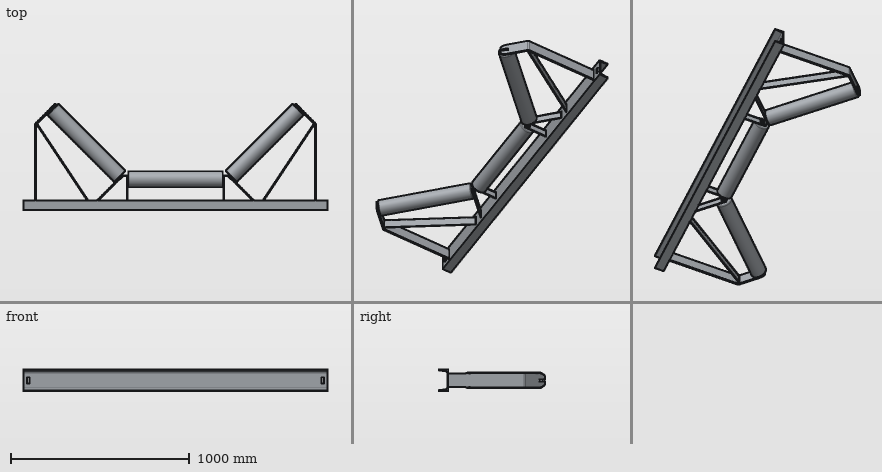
import cadquery as cq
import math

channel_length = 1700.0
channel_height = 120.0
channel_depth = 55.0
web_thickness = 7.0
flange_root_thickness = 12.0
flange_tip_thickness = 6.0
root_radius = 8.0
toe_radius = 3.0
slot_width = 14.0
slot_height = 34.0
slot_inset = 27.0

roller_length = 530.0
roller_diameter = 90.0
roller_edge_radius = 4.2
center_axis_y = 117.0
wing_tilt = 45.0
wing_center_x = 498.0
wing_center_y = 321.0
wing_end_gap = 4.2

tang_width = 14.0
tang_height = 24.0

arm_width = 76.0
arm_thickness = 8.0
arm_bend_radius = 5.0
arm_post_x = 782.0
arm_tip_reach = 32.0

bracket_width = 50.0
bracket_thickness = 6.0
bracket_bend_radius = 3.0
bracket_post_x = 270.0
bracket_top_y = 138.0

brace_width = 60.0
brace_thickness = 6.0
brace_foot_x = 491.0
brace_top_offset = 8.0
weld_overrun = 5.0

tilt = math.radians(wing_tilt)
axis_x = math.cos(tilt)
axis_y = math.sin(tilt)
half_roller = roller_length / 2
arm_reach = half_roller + wing_end_gap + arm_thickness / 2
bracket_reach = half_roller + wing_end_gap + bracket_thickness / 2
arm_seat_x = wing_center_x + arm_reach * axis_x
arm_seat_y = wing_center_y + arm_reach * axis_y
arm_bend_y = arm_seat_y - (arm_post_x - arm_seat_x) / math.tan(tilt)
wing_tang_length = wing_end_gap + arm_thickness
center_tang_length = bracket_post_x + bracket_thickness / 2 - half_roller
bracket_seat_x = wing_center_x - bracket_reach * axis_x
bracket_seat_y = wing_center_y - bracket_reach * axis_y


def bent_bar(points, thickness, width, bend_radius=0.0):
    """Flat bar centred on Z = 0 whose centreline in XY runs through the points, with rounded bends."""
    headings = [math.atan2(b[1] - a[1], b[0] - a[0]) for a, b in zip(points, points[1:])]
    arriving = [headings[0]] + headings
    leaving = headings + [headings[-1]]
    left_side = []
    right_side = []
    for (x, y), heading_in, heading_out in zip(points, arriving, leaving):
        miter = thickness / 2 / math.cos((heading_out - heading_in) / 2)
        normal = (heading_in + heading_out + math.pi) / 2
        left_side.append((x + miter * math.cos(normal), y + miter * math.sin(normal)))
        right_side.append((x - miter * math.cos(normal), y - miter * math.sin(normal)))
    bar = cq.Workplane("XY").polyline(left_side + right_side[::-1]).close().extrude(width / 2, both=True)

    for bend in range(1, len(points) - 1):
        turns_left = leaving[bend] > arriving[bend]
        inner, outer = (left_side, right_side) if turns_left else (right_side, left_side)
        for (x, y), radius in ((inner[bend], bend_radius), (outer[bend], bend_radius + thickness)):
            bar = bar.edges("|Z").edges(cq.selectors.NearestToPointSelector((x, y, 0))).fillet(radius)
    return bar


def make_channel():
    half_height = channel_height / 2
    upper = [
        (-channel_depth, half_height),
        (-channel_depth, half_height - flange_tip_thickness),
        (-web_thickness, half_height - flange_root_thickness),
    ]
    lower = [(y, -z) for y, z in reversed(upper)]
    outline = [(0, half_height)] + upper + lower + [(0, -half_height)]
    body = cq.Workplane("YZ").polyline(outline).close().extrude(channel_length / 2, both=True)
    for y, z_inner, radius in (
        (-web_thickness, half_height - flange_root_thickness, root_radius),
        (-channel_depth, half_height - flange_tip_thickness, toe_radius),
    ):
        for z in (z_inner, -z_inner):
            body = body.edges("|X").edges(cq.selectors.NearestToPointSelector((0, y, z))).fillet(radius)

    slot_x = channel_length / 2 - slot_inset
    slots = (
        cq.Workplane("XZ")
        .pushPoints([(-slot_x, 0), (slot_x, 0)])
        .rect(slot_width, slot_height)
        .extrude(channel_depth)
    )
    return body.cut(slots)


def make_roller(tang_length):
    """Roller along X, centred on the origin, with a shaft tang at each end."""
    drum = cq.Workplane("YZ").workplane(offset=-half_roller).circle(roller_diameter / 2).extrude(roller_length)
    drum = drum.faces("<X or >X").edges().fillet(roller_edge_radius)
    shaft = cq.Workplane("XY").box(roller_length + 2 * tang_length, tang_height, tang_width)
    return drum.union(shaft)


def make_arm():
    """Right arm: upright post, bent inward square to the wing axis, rounded tip with an open slot."""
    tip = (arm_seat_x - arm_tip_reach * axis_y, arm_seat_y + arm_tip_reach * axis_x)
    bar = bent_bar(
        [(arm_post_x, 0), (arm_post_x, arm_bend_y), tip], arm_thickness, arm_width, arm_bend_radius
    )
    seat = cq.Plane(
        origin=(arm_seat_x, arm_seat_y, 0), xDir=(-axis_y, axis_x, 0), normal=(axis_x, axis_y, 0)
    )
    corners = (
        cq.Workplane(seat)
        .center(arm_width / 2, 0)
        .rect(arm_width, arm_width)
        .extrude(arm_thickness, both=True)
        .cut(cq.Workplane(seat).circle(arm_width / 2).extrude(arm_thickness, both=True))
    )
    slot_length = arm_tip_reach + tang_height / 2
    slot = (
        cq.Workplane(seat)
        .center(arm_tip_reach - slot_length / 2, 0)
        .rect(slot_length, tang_width)
        .extrude(arm_thickness, both=True)
    )
    return bar.cut(corners).cut(slot)


def make_bracket(channel, center_roller, wing_roller):
    """Right bracket: post beside the middle roller, short bridge, leg sloping down to the channel."""
    bridge_end_x = bracket_seat_x - (bracket_top_y - bracket_seat_y) * math.tan(tilt)
    foot_x = bridge_end_x + bracket_top_y * math.tan(tilt)
    foot = (foot_x + weld_overrun * axis_y, -weld_overrun * axis_x)
    bar = bent_bar(
        [(bracket_post_x, 0), (bracket_post_x, bracket_top_y), (bridge_end_x, bracket_top_y), foot],
        bracket_thickness,
        bracket_width,
        bracket_bend_radius,
    )
    return bar.cut(channel).cut(center_roller).cut(wing_roller)


def make_brace(channel, arm):
    """Right brace: straight bar trimmed to the channel and to the inside of the arm bend."""
    top_x = arm_post_x - brace_top_offset
    slope = math.atan2(arm_bend_y, top_x - brace_foot_x)
    run_x = weld_overrun * math.cos(slope)
    run_y = weld_overrun * math.sin(slope)
    bar = bent_bar(
        [(brace_foot_x - run_x, -run_y), (top_x + run_x, arm_bend_y + run_y)], brace_thickness, brace_width
    )
    return bar.cut(channel).cut(arm)


channel = make_channel()

center_roller = make_roller(center_tang_length).translate((0, center_axis_y, 0))
wing_roller = (
    make_roller(wing_tang_length)
    .rotate((0, 0, 0), (0, 0, 1), wing_tilt)
    .translate((wing_center_x, wing_center_y, 0))
)
arm = make_arm()
bracket = make_bracket(channel, center_roller, wing_roller)
brace = make_brace(channel, arm)

bodies = [channel.val(), center_roller.val()]
for side_body in (wing_roller, arm, bracket, brace):
    bodies.append(side_body.val())
    bodies.append(side_body.mirror("YZ").val())

result = cq.Compound.makeCompound(bodies)